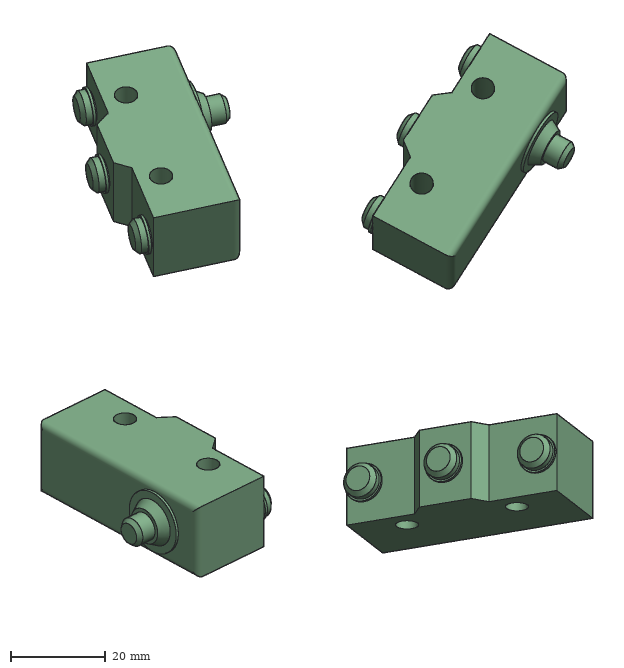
import cadquery as cq

LENGTH = 49.2
HEIGHT = 17.5
BACK_Y = 19.6
BACK_FILLET = 1.6
NOSE_DEPTH = 3.3
NOSE_ROOT_WIDTH = 17.4
NOSE_TIP_WIDTH = 12.15
HOLE_DIAMETER = 4.9
HOLE_SPACING = 25.75
HOLE_Y = 5.2

PLUNGER_X = -11.55
COLLAR_DIAMETER = 14.5
COLLAR_HEIGHT = 0.65
CONE_BASE_DIAMETER = 10.8
CONE_TOP_DIAMETER = 8.15
CONE_HEIGHT = 2.4
STEM_DIAMETER = 6.5
STEM_HEIGHT = 3.55
STEM_TIP_DIAMETER = 4.8
STEM_TIP_HEIGHT = 1.05

TERMINAL_NECK_DIAMETER = 6.8
TERMINAL_NECK_HEIGHT = 0.45
TERMINAL_FLANGE_DIAMETER = 8.5
TERMINAL_FLANGE_HEIGHT = 0.6
TERMINAL_HEAD_DIAMETER = 7.68
TERMINAL_HEAD_HEIGHT = 1.5
TERMINAL_TIP_DIAMETER = 5.55
TERMINAL_TIP_HEIGHT = 1.05

OUTER_TERMINAL_X = (LENGTH - TERMINAL_FLANGE_DIAMETER) / 2


def make_housing():
    """Block with a tapered nose, a rounded back face and two mounting holes."""
    half_length = LENGTH / 2
    half_root = NOSE_ROOT_WIDTH / 2
    half_tip = NOSE_TIP_WIDTH / 2
    outline = [
        (-half_length, BACK_Y),
        (-half_length, 0),
        (-half_root, 0),
        (-half_tip, -NOSE_DEPTH),
        (half_tip, -NOSE_DEPTH),
        (half_root, 0),
        (half_length, 0),
        (half_length, BACK_Y),
    ]
    block = cq.Workplane("XY").polyline(outline).close().extrude(HEIGHT / 2, both=True)
    block = block.faces(">Y").edges().fillet(BACK_FILLET)
    holes = (
        cq.Workplane("XY")
        .pushPoints([(-HOLE_SPACING / 2, HOLE_Y), (HOLE_SPACING / 2, HOLE_Y)])
        .circle(HOLE_DIAMETER / 2)
        .extrude(HEIGHT / 2, both=True)
    )
    return block.cut(holes)


def turn_sections(sections, direction):
    """Turn stacked (base diameter, end diameter, height) sections about Y from Y = 0.

    The direction is 1 to stack towards +Y and -1 to stack towards -Y.
    """
    profile = [(0, 0)]
    y = 0
    for base_diameter, end_diameter, height in sections:
        base_point = (base_diameter / 2, y)
        if base_point != profile[-1]:
            profile.append(base_point)
        y += direction * height
        profile.append((end_diameter / 2, y))
    profile.append((0, y))
    return cq.Workplane("XY").polyline(profile).close().revolve(360, (0, 0, 0), (0, 1, 0))


def make_plunger():
    """Collar, cone and chamfered stem, seated on the back face of the housing."""
    sections = [
        (COLLAR_DIAMETER, COLLAR_DIAMETER, COLLAR_HEIGHT),
        (CONE_BASE_DIAMETER, CONE_TOP_DIAMETER, CONE_HEIGHT),
        (STEM_DIAMETER, STEM_DIAMETER, STEM_HEIGHT),
        (STEM_DIAMETER, STEM_TIP_DIAMETER, STEM_TIP_HEIGHT),
    ]
    return turn_sections(sections, 1).translate((PLUNGER_X, BACK_Y, 0))


def make_terminal(x, seat_y):
    """Neck, flange and chamfered head, standing on a front face at seat_y."""
    sections = [
        (TERMINAL_NECK_DIAMETER, TERMINAL_NECK_DIAMETER, TERMINAL_NECK_HEIGHT),
        (TERMINAL_FLANGE_DIAMETER, TERMINAL_FLANGE_DIAMETER, TERMINAL_FLANGE_HEIGHT),
        (TERMINAL_HEAD_DIAMETER, TERMINAL_HEAD_DIAMETER, TERMINAL_HEAD_HEIGHT),
        (TERMINAL_HEAD_DIAMETER, TERMINAL_TIP_DIAMETER, TERMINAL_TIP_HEIGHT),
    ]
    return turn_sections(sections, -1).translate((x, seat_y, 0))


housing = make_housing()
plunger = make_plunger()

terminal_seats = [
    (-OUTER_TERMINAL_X, 0),
    (0, -NOSE_DEPTH),
    (OUTER_TERMINAL_X, 0),
]
terminals = []
for terminal_x, terminal_seat_y in terminal_seats:
    terminals.append(make_terminal(terminal_x, terminal_seat_y).val())

result = cq.Compound.makeCompound([housing.val(), plunger.val(), *terminals])